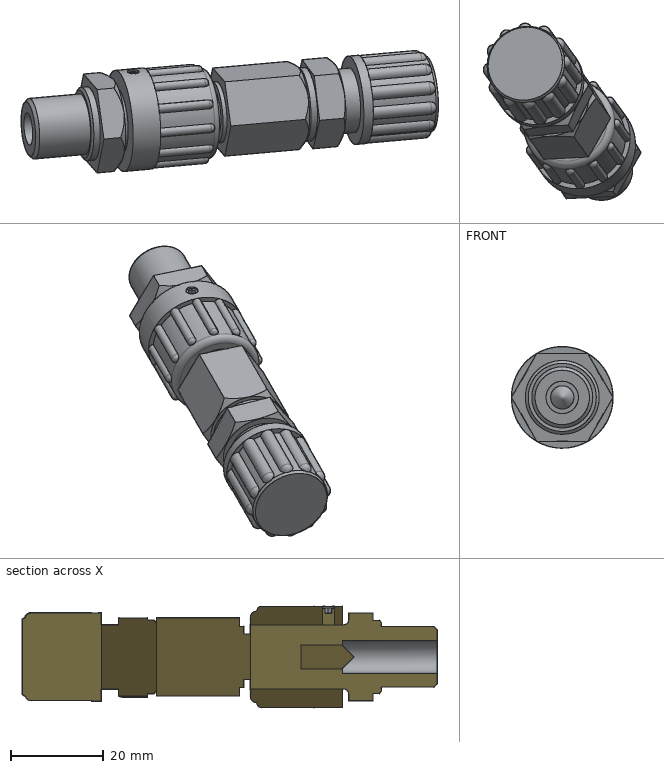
import cadquery as cq
import math


TOTAL_LENGTH = 89.85
COLLAR_START = 12.0
STUD_HEX_START = 13.9
STUD_HEX_END = 19.2
SLEEVE_START = 20.5
SLEEVE_RIBS_START = 26.7
SLEEVE_END = 40.5
FLANGE_START = 41.9
SOCKET_START = 42.8
SOCKET_END = 60.8
UPPER_HEX_START = 62.7
UPPER_HEX_END = 69.0
CAP_START = 72.7
CAP_RIBS_START = 74.85

STUD_THREAD_DIA = 13.2
COLLAR_DIA = 16.0
NECK_DIA = 14.0
NIPPLE_DIA = 10.0
FLANGE_DIA = 13.3
SLEEVE_DIA = 22.0
CAP_DIA = 19.2

STUD_HEX_FLATS = 19.05
STUD_HEX_CHAMFER = (1.5, 1.5)
SMALL_HEX_FLATS = 17.0
SOCKET_CHAMFER = (1.35, 1.35)
UPPER_HEX_CHAMFER = (1.4, 0.8)

STUD_END_CHAMFER = (0.7, 0.7)
COLLAR_CHAMFER = (0.6, 0.45)
COLLAR_FACE_DISH = 0.1
CAP_END_CHAMFER = (0.4, 0.6)
NECK_FILLET = 1.1
SLEEVE_END_FILLET = 1.4

CAP_RIB_COUNT = 12
CAP_RIB_DIA = 3.0
CAP_ROOT_DIA = 17.1
CAP_DOME_BASE = 87.9
SLEEVE_RIB_COUNT = 12
SLEEVE_RIB_DIA = 2.0
SLEEVE_ROOT_DIA = 19.95
SLEEVE_DOME_BASE = 38.1

UPPER_TURN = 3.0

BORE_DIA = 7.0
BORE_DEPTH = SLEEVE_START
PIN_DIA = 5.0
PIN_CONE_HEIGHT = PIN_DIA / 2
PIN_SHANK_LENGTH = 9.0

SCREW_Y = 23.5
SCREW_DIA = 2.5
SCREW_RECESS = 0.45
SCREW_SOCKET_FLATS = 1.4
SCREW_SOCKET_TURN = 10.0
SCREW_SOCKET_DEPTH = 1.1


def disc(diameter, start, end):
    """Cylinder on the Y axis between two stations."""
    return cq.Workplane("XZ", origin=(0, start, 0)).circle(diameter / 2).extrude(start - end)


def turned(points):
    """Solid of revolution about Y from (radius, station) points."""
    return cq.Workplane("XY").polyline(points).close().revolve(360, (0, 0, 0), (0, 1, 0))


def chamfered_disc(diameter, chamfered_end, plain_end, chamfer):
    """Cylinder on the Y axis with a chamfer (radial leg, axial leg) round one end."""
    radial, axial = chamfer
    radius = diameter / 2
    inward = math.copysign(axial, plain_end - chamfered_end)
    return turned([
        (0, chamfered_end),
        (radius - radial, chamfered_end),
        (radius, chamfered_end + inward),
        (radius, plain_end),
        (0, plain_end),
    ])


def chamfered_hexagon(across_flats, start, end, chamfer):
    """Hexagonal prism with two corners on X and its corners chamfered at the +Y end."""
    radial, axial = chamfer
    across_corners = across_flats / math.cos(math.pi / 6)
    prism = cq.Workplane("XZ", origin=(0, start, 0)).polygon(6, across_corners).extrude(start - end)
    end_radius = across_corners / 2 - radial
    start_radius = end_radius + (end - start) * radial / axial
    return prism.intersect(turned([(0, start), (start_radius, start), (end_radius, end), (0, end)]))


def with_ribs(blank, count, outer_diameter, rib_diameter, start, dome_base):
    """Add evenly spaced round grip ribs with domed +Y ends, the first one at +Z."""
    rib_radius = rib_diameter / 2
    centre_radius = outer_diameter / 2 - rib_radius
    rib = disc(rib_diameter, start, dome_base)
    rib = rib.union(cq.Workplane("XY", origin=(0, dome_base, 0)).sphere(rib_radius))
    rib = rib.translate((0, 0, centre_radius))
    for i in range(count):
        blank = blank.union(rib.rotate((0, 0, 0), (0, 1, 0), i * 360 / count))
    return blank


def turn_upper(body):
    return body.rotate((0, 0, 0), (0, 1, 0), UPPER_TURN)


def screw_cylinder(diameter, bottom, top):
    """Vertical cylinder on the set screw's axis."""
    return cq.Workplane("XY", origin=(0, SCREW_Y, bottom)).circle(diameter / 2).extrude(top - bottom)


def make_stud():
    """Threaded stud, collar and hexagon, with a neck that runs through the sleeve."""
    collar = chamfered_disc(COLLAR_DIA, COLLAR_START, STUD_HEX_START, COLLAR_CHAMFER)
    dish_floor = COLLAR_START + COLLAR_FACE_DISH
    dish = turned([
        (0, COLLAR_START),
        (COLLAR_DIA / 2 - COLLAR_CHAMFER[0], COLLAR_START),
        (STUD_THREAD_DIA / 2, dish_floor),
        (0, dish_floor),
    ])
    stud = collar.cut(dish).union(chamfered_disc(STUD_THREAD_DIA, 0, STUD_HEX_START, STUD_END_CHAMFER))
    stud = stud.union(chamfered_hexagon(STUD_HEX_FLATS, STUD_HEX_START, STUD_HEX_END, STUD_HEX_CHAMFER))
    stud = stud.union(disc(NECK_DIA, STUD_HEX_END, SLEEVE_END))
    neck_radius = NECK_DIA / 2
    fillet_ring = (
        cq.Workplane("XY")
        .moveTo(neck_radius, STUD_HEX_END)
        .lineTo(neck_radius + NECK_FILLET, STUD_HEX_END)
        .radiusArc((neck_radius, STUD_HEX_END + NECK_FILLET), NECK_FILLET)
        .close()
        .revolve(360, (0, 0, 0), (0, 1, 0))
    )
    stud = stud.union(fillet_ring)
    bore = disc(BORE_DIA, 0, BORE_DEPTH)
    pin_hole = disc(PIN_DIA, BORE_DEPTH, BORE_DEPTH + PIN_SHANK_LENGTH)
    return stud.cut(bore).cut(pin_hole)


def make_valve_pin():
    """Round pin whose conical tip stands in the stud bore and points to -Y."""
    shank_end = BORE_DEPTH + PIN_SHANK_LENGTH
    return turned([
        (0, BORE_DEPTH - PIN_CONE_HEIGHT),
        (PIN_DIA / 2, BORE_DEPTH),
        (PIN_DIA / 2, shank_end),
        (0, shank_end),
    ])


def make_sleeve():
    """Ribbed coupling sleeve round the stud neck, with a hole for the set screw."""
    core = disc(SLEEVE_ROOT_DIA, SLEEVE_START, SLEEVE_END).faces(">Y").edges().fillet(SLEEVE_END_FILLET)
    band = disc(SLEEVE_DIA, SLEEVE_START, SLEEVE_RIBS_START)
    sleeve = with_ribs(core, SLEEVE_RIB_COUNT, SLEEVE_DIA, SLEEVE_RIB_DIA,
                       SLEEVE_RIBS_START, SLEEVE_DOME_BASE)
    sleeve = sleeve.union(band).cut(disc(NECK_DIA, SLEEVE_START, SLEEVE_END))
    return sleeve.cut(screw_cylinder(SCREW_DIA, 0, SLEEVE_DIA))


def make_set_screw():
    """Screw in the sleeve wall that rests on the neck, with a hexagon socket on top."""
    top = SLEEVE_DIA / 2 - SCREW_RECESS
    socket = (
        cq.Workplane("XY", origin=(0, SCREW_Y, top))
        .transformed(rotate=(0, 0, SCREW_SOCKET_TURN))
        .polygon(6, SCREW_SOCKET_FLATS / math.cos(math.pi / 6))
        .extrude(-SCREW_SOCKET_DEPTH)
    )
    screw = screw_cylinder(SCREW_DIA, 0, top).cut(disc(NECK_DIA, SLEEVE_START, SLEEVE_END))
    return screw.cut(socket)


def make_socket():
    """Long hexagon with a flange and a nipple that meets the sleeve."""
    socket = chamfered_hexagon(SMALL_HEX_FLATS, SOCKET_START, SOCKET_END, SOCKET_CHAMFER)
    socket = socket.union(disc(FLANGE_DIA, FLANGE_START, SOCKET_START))
    return socket.union(disc(NIPPLE_DIA, SLEEVE_END, FLANGE_START))


def make_upper_fitting():
    """Short hexagon between a chamfered collar on the socket and a neck under the cap."""
    fitting = chamfered_disc(COLLAR_DIA, SOCKET_END, UPPER_HEX_START, COLLAR_CHAMFER)
    fitting = fitting.union(
        chamfered_hexagon(SMALL_HEX_FLATS, UPPER_HEX_START, UPPER_HEX_END, UPPER_HEX_CHAMFER)
    )
    fitting = fitting.union(disc(NECK_DIA, UPPER_HEX_END, CAP_START))
    return turn_upper(fitting)


def make_cap():
    """Ribbed cap with a plain rim next to the upper neck."""
    core = chamfered_disc(CAP_ROOT_DIA, TOTAL_LENGTH, CAP_START, CAP_END_CHAMFER)
    cap = with_ribs(core, CAP_RIB_COUNT, CAP_DIA, CAP_RIB_DIA, CAP_RIBS_START, CAP_DOME_BASE)
    return turn_upper(cap.union(disc(CAP_DIA, CAP_START, CAP_RIBS_START)))


stud = make_stud()
valve_pin = make_valve_pin()
sleeve = make_sleeve()
set_screw = make_set_screw()
socket = make_socket()
upper_fitting = make_upper_fitting()
cap = make_cap()

result = cq.Compound.makeCompound([
    stud.val(),
    valve_pin.val(),
    sleeve.val(),
    set_screw.val(),
    socket.val(),
    upper_fitting.val(),
    cap.val(),
])